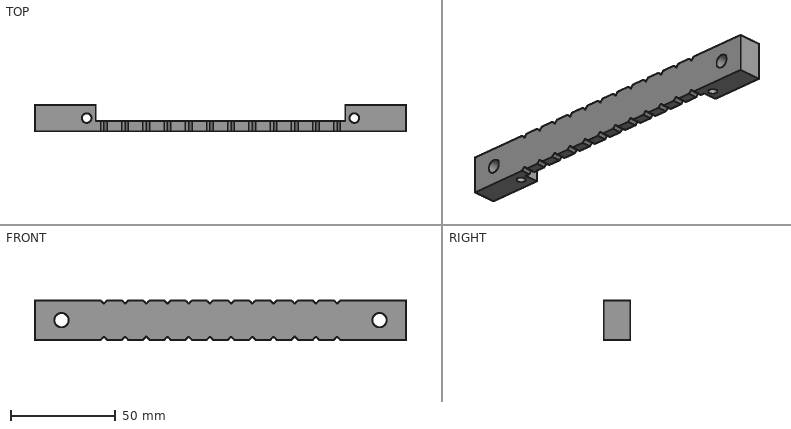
import cadquery as cq

LENGTH = 177.8
DEPTH = 12.7
HEIGHT = 19.05

WEB_THICKNESS = 5.08
RELIEF_LENGTH = 119.38

MOUNT_HOLE_DIAMETER = 6.75
MOUNT_HOLE_SPACING = 152.4

VERTICAL_HOLE_DIAMETER = 4.5
VERTICAL_HOLE_SPACING = 128.27

NOTCH_COUNT = 12
NOTCH_PITCH = 10.16
NOTCH_WIDTH = 3.175
NOTCH_DEPTH = NOTCH_WIDTH / 2


def make_bar():
    """Bar with the rear of its middle section removed."""
    bar = cq.Workplane("XY").box(LENGTH, DEPTH, HEIGHT)
    relief_depth = DEPTH - WEB_THICKNESS
    relief_center_y = (DEPTH - relief_depth) / 2
    relief = (
        cq.Workplane("XY")
        .box(RELIEF_LENGTH, relief_depth, HEIGHT)
        .translate((0, relief_center_y, 0))
    )
    return bar.cut(relief)


def hole_pair(plane, spacing, diameter, through_length):
    """Two cylinders spaced along X, long enough to pass through the bar."""
    return (
        cq.Workplane(plane)
        .pushPoints([(-spacing / 2, 0), (spacing / 2, 0)])
        .circle(diameter / 2)
        .extrude(through_length / 2, both=True)
    )


def edge_notches(side):
    """Row of V-notch cutters on the top (side = 1) or bottom (side = -1) edge.

    The cutters stop at the rear of the web, so the end blocks stay whole.
    """
    edge_z = side * HEIGHT / 2
    root_z = edge_z - side * NOTCH_DEPTH
    notches = cq.Workplane("XZ", origin=(0, -DEPTH / 2, 0))
    for index in range(NOTCH_COUNT):
        center_x = (index - (NOTCH_COUNT - 1) / 2) * NOTCH_PITCH
        notches = (
            notches
            .moveTo(center_x - NOTCH_WIDTH / 2, edge_z)
            .lineTo(center_x, root_z)
            .lineTo(center_x + NOTCH_WIDTH / 2, edge_z)
            .close()
        )
    return notches.extrude(-WEB_THICKNESS)


result = (
    make_bar()
    .cut(hole_pair("XZ", MOUNT_HOLE_SPACING, MOUNT_HOLE_DIAMETER, DEPTH))
    .cut(hole_pair("XY", VERTICAL_HOLE_SPACING, VERTICAL_HOLE_DIAMETER, HEIGHT))
    .cut(edge_notches(1))
    .cut(edge_notches(-1))
)